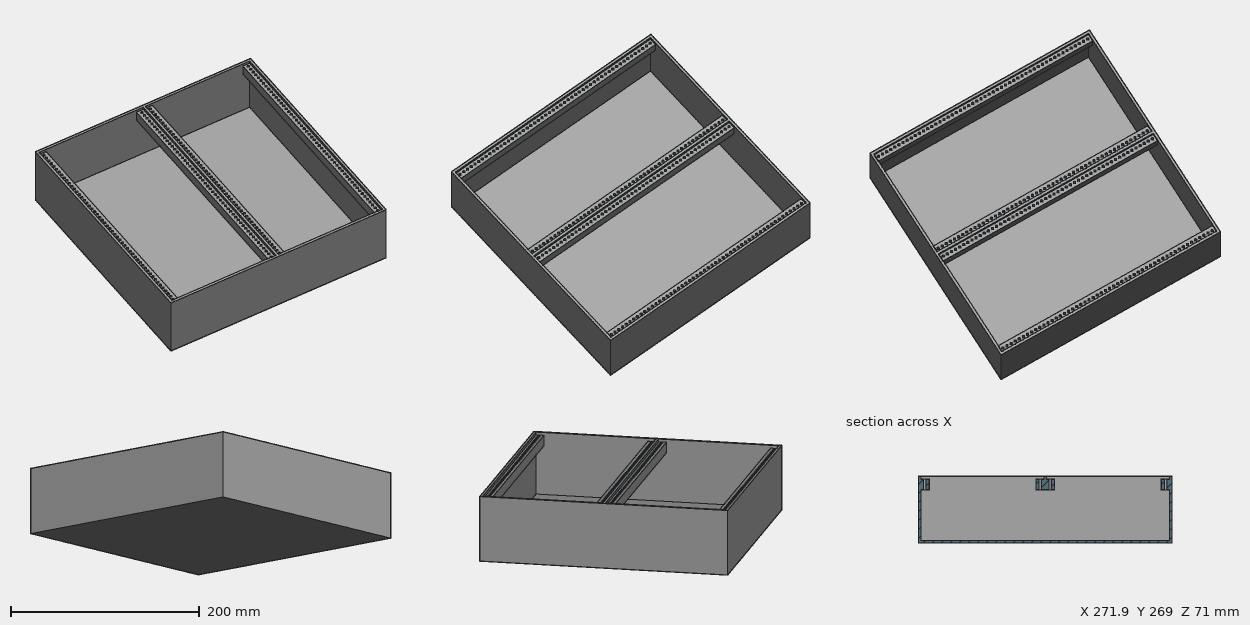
import cadquery as cq

case_length = 271.9
case_depth = 269.0
case_height = 71.0
wall = 3.0
floor = 3.0

rail_width = 8.5
rail_height = 11.5
rail_recess = 3.0

hole_diameter = 2.5
hole_pitch = 5.08
hole_count = 52
hole_row_spacing = 122.5

inner_length = case_length - 2 * wall
row_depth = (case_depth - 3 * wall) / 2
row_offset = (row_depth + wall) / 2
rail_top = case_height - rail_recess
rail_bottom = rail_top - rail_height
row_centers = (-row_offset, row_offset)
row_sides = (-1, 1)


def block(length, depth, height, y, bottom):
    """Box centred on X = 0 and on the given Y, standing on the given Z."""
    base = cq.Workplane("XY", origin=(0, y, bottom))
    return base.box(length, depth, height, centered=(True, True, False))


def make_box():
    """Outer shell: floor and four walls."""
    shell = block(case_length, case_depth, case_height, 0, 0)
    cavity = block(inner_length, case_depth - 2 * wall, case_height, 0, floor)
    return shell.cut(cavity)


def make_divider():
    """Beam between the two rows: flush with the rim, as deep as the rails it joins."""
    return block(case_length, wall, case_height - rail_bottom, 0, rail_bottom)


def make_rail(row_center, side):
    """Rail along one long side of a row, with its line of screw holes."""
    rail_y = row_center + side * (row_depth - rail_width) / 2
    hole_y = row_center + side * hole_row_spacing / 2
    rail = block(inner_length, rail_width, rail_height, rail_y, rail_bottom)
    holes = (
        cq.Workplane("XY", origin=(0, hole_y, rail_bottom))
        .rarray(hole_pitch, 1, hole_count, 1)
        .circle(hole_diameter / 2)
        .extrude(rail_height)
    )
    return rail.cut(holes)


result = make_box().union(make_divider())
for row_center in row_centers:
    for side in row_sides:
        result = result.union(make_rail(row_center, side))